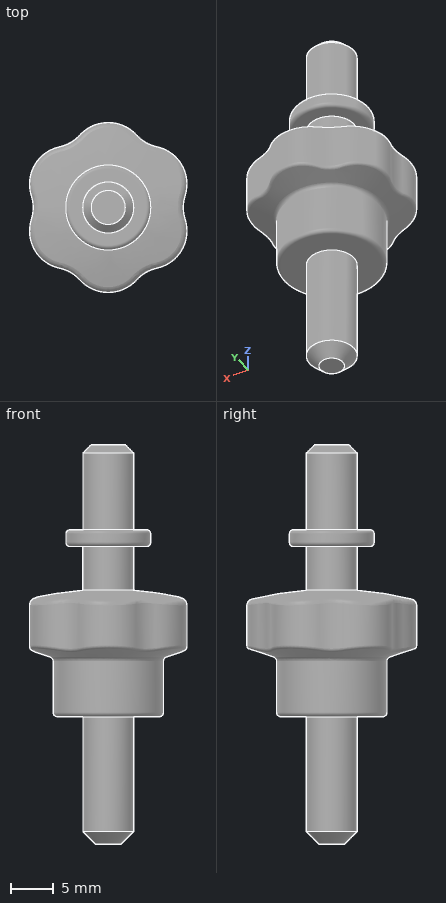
import cadquery as cq
import math

total_height = 47.0
pin_radius = 3.0

lower_pin_length = 15.0
lower_pin_chamfer = 1.5

upper_pin_chamfer = 1.0

washer_radius = 5.0
washer_thickness = 2.0
washer_top_z = total_height - 10.0
washer_edge_radius = 0.5

hub_radius = 6.5
hub_bottom_z = lower_pin_length
hub_edge_radius = 0.5
hub_neck_radius = 0.5

lobe_count = 6
lobe_step = 360.0 / lobe_count
first_lobe_angle = 90.0
head_radius = 10.0
lobe_radius = 4.5
hollow_radius = lobe_radius
underside_hub_z = hub_bottom_z + 6.9
underside_slope = 1.0 / 3.0
crown_z = hub_bottom_z + 15.0
crown_drop_at_rim = 1.3
top_rim_radius = 0.8
bottom_rim_radius = 0.4


def polar(radius, angle):
    """Point at a distance from the axis, at an angle in degrees."""
    return (radius * math.cos(math.radians(angle)), radius * math.sin(math.radians(angle)))


def lobed_outline():
    """Closed outline of round lobes joined by tangent hollow arcs."""
    half_step = math.radians(lobe_step / 2)
    lobe_center = head_radius - lobe_radius
    along_hollow = lobe_center * math.cos(half_step)
    across_hollow = lobe_center * math.sin(half_step)
    hollow_center = along_hollow + math.sqrt((lobe_radius + hollow_radius) ** 2 - across_hollow**2)
    lobe_share = lobe_radius / (lobe_radius + hollow_radius)

    def tangent_point(lobe_angle, hollow_angle):
        lobe_x, lobe_y = polar(lobe_center, lobe_angle)
        hollow_x, hollow_y = polar(hollow_center, hollow_angle)
        return (
            lobe_x + (hollow_x - lobe_x) * lobe_share,
            lobe_y + (hollow_y - lobe_y) * lobe_share,
        )

    start = tangent_point(first_lobe_angle, first_lobe_angle - lobe_step / 2)
    outline = cq.Workplane("XY").moveTo(*start)
    for index in range(lobe_count):
        lobe = first_lobe_angle + index * lobe_step
        hollow = lobe + lobe_step / 2
        next_lobe = lobe + lobe_step
        outline = outline.threePointArc(polar(head_radius, lobe), tangent_point(lobe, hollow))
        hollow_floor = polar(hollow_center - hollow_radius, hollow)
        outline = outline.threePointArc(hollow_floor, tangent_point(next_lobe, hollow))
    return outline.close()


def make_head_envelope():
    """Turned body, wider than the lobes, with the dome on top and the cone below."""
    dome_radius = (head_radius**2 + crown_drop_at_rim**2) / (2 * crown_drop_at_rim)
    envelope_radius = head_radius + 1.0

    def dome_z(radius):
        return crown_z - dome_radius + math.sqrt(dome_radius**2 - radius**2)

    middle = envelope_radius / 2
    return (
        cq.Workplane("XZ")
        .moveTo(0, crown_z)
        .threePointArc((middle, dome_z(middle)), (envelope_radius, dome_z(envelope_radius)))
        .lineTo(envelope_radius, underside_hub_z + underside_slope * (envelope_radius - hub_radius))
        .lineTo(hub_radius, underside_hub_z)
        .lineTo(0, underside_hub_z)
        .close()
        .revolve(360, (0, 0, 0), (0, 1, 0))
    )


def edges_between(bottom_z, top_z):
    """Selector for the edges centred in a height range."""
    reach = 2 * head_radius
    return cq.selectors.BoxSelector((-reach, -reach, bottom_z), (reach, reach, top_z))


def make_head():
    head = lobed_outline().extrude(total_height).intersect(make_head_envelope())
    margin = 0.1
    rim_band = 2.0
    head = head.edges(edges_between(crown_z - rim_band, crown_z + margin)).fillet(top_rim_radius)
    bottom_rim = edges_between(underside_hub_z + margin, underside_hub_z + rim_band)
    return head.edges(bottom_rim).fillet(bottom_rim_radius)


def make_knob():
    hub = (
        cq.Workplane("XY", origin=(0, 0, hub_bottom_z))
        .circle(hub_radius)
        .extrude(underside_hub_z - hub_bottom_z)
        .faces("<Z")
        .edges()
        .fillet(hub_edge_radius)
    )
    margin = 0.05
    neck = edges_between(underside_hub_z - margin, underside_hub_z + margin)
    return make_head().union(hub).edges(neck).fillet(hub_neck_radius)


def make_lower_pin():
    pin = cq.Workplane("XY").circle(pin_radius).extrude(lower_pin_length)
    return pin.faces("<Z").chamfer(lower_pin_chamfer)


def make_upper_pin(knob):
    """Stud whose base follows the dome that it stands on."""
    start_z = crown_z - crown_drop_at_rim
    pin = cq.Workplane("XY", origin=(0, 0, start_z)).circle(pin_radius).extrude(total_height - start_z)
    return pin.faces(">Z").chamfer(upper_pin_chamfer).cut(knob)


def make_washer():
    washer_bottom_z = washer_top_z - washer_thickness
    return (
        cq.Workplane("XY", origin=(0, 0, washer_bottom_z))
        .circle(washer_radius)
        .extrude(washer_thickness)
        .edges()
        .fillet(washer_edge_radius)
        .faces(">Z")
        .workplane()
        .hole(2 * pin_radius)
    )


knob = make_knob()
lower_pin = make_lower_pin()
upper_pin = make_upper_pin(knob)
washer = make_washer()

result = cq.Compound.makeCompound([knob.val(), lower_pin.val(), upper_pin.val(), washer.val()])